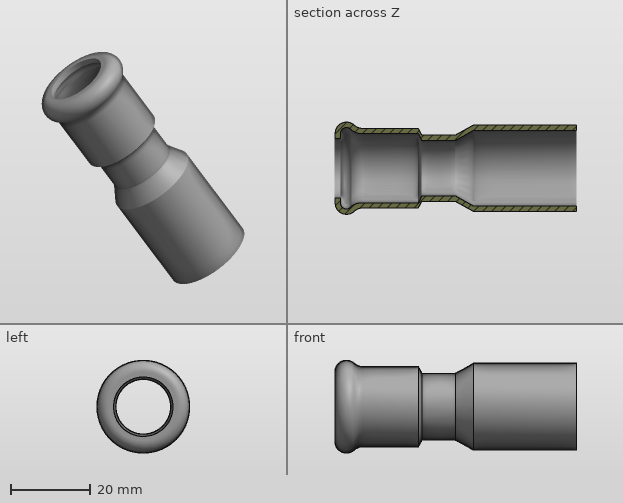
import cadquery as cq
import math

length = 61.0
wall = 1.45

bead_radius = 2.9
bead_center_r = 8.8
bead_end_x = 5.05
mouth_radius = 7.5

flare_end_x = 5.4
flare_end_r = 10.55
socket_start_x = 6.9
socket_end_x = 21.05
socket_radius = 10.1

neck_start_x = 21.95
neck_end_x = 30.4
neck_radius = 8.4
spigot_start_x = 35.0
spigot_radius = 11.0

chamber_radius = bead_radius - wall
inner_flare_x = 4.2
inner_flare_r = 9.5
socket_bore = socket_radius - wall
neck_bore = 6.9
spigot_bore = spigot_radius - wall


bead_end_angle = math.acos((bead_end_x - bead_radius) / bead_radius)


def bead_end_point(arc_radius):
    """Rear end of an arc concentric with the bead."""
    x = bead_radius + arc_radius * math.cos(bead_end_angle)
    r = bead_center_r + arc_radius * math.sin(bead_end_angle)
    return x, r


def flare_mid_point(start_x, start_r, end_r):
    """Middle of an arc that runs out tangent to the cylinder of radius end_r."""
    run = socket_start_x - start_x
    drop = start_r - end_r
    turn = 2 * math.atan2(drop, run)
    arc_radius = run / math.sin(turn)
    x = socket_start_x - arc_radius * math.sin(turn / 2)
    r = end_r + arc_radius * (1 - math.cos(turn / 2))
    return x, r


def outer_solid():
    profile = (
        cq.Workplane("XY")
        .moveTo(0, 0)
        .lineTo(0, bead_center_r)
        .threePointArc(
            (bead_radius, bead_center_r + bead_radius),
            bead_end_point(bead_radius),
        )
        .lineTo(flare_end_x, flare_end_r)
        .threePointArc(
            flare_mid_point(flare_end_x, flare_end_r, socket_radius),
            (socket_start_x, socket_radius),
        )
        .lineTo(socket_end_x, socket_radius)
        .lineTo(neck_start_x, neck_radius)
        .lineTo(neck_end_x, neck_radius)
        .lineTo(spigot_start_x, spigot_radius)
        .lineTo(length, spigot_radius)
        .lineTo(length, 0)
        .close()
    )
    return profile.revolve(360, (0, 0, 0), (1, 0, 0))


def bore_solid():
    profile = (
        cq.Workplane("XY")
        .moveTo(0, 0)
        .lineTo(0, mouth_radius)
        .lineTo(wall, mouth_radius)
        .lineTo(wall, bead_center_r)
        .threePointArc(
            (bead_radius, bead_center_r + chamber_radius),
            bead_end_point(chamber_radius),
        )
        .lineTo(inner_flare_x, inner_flare_r)
        .threePointArc(
            flare_mid_point(inner_flare_x, inner_flare_r, socket_bore),
            (socket_start_x, socket_bore),
        )
        .lineTo(socket_end_x, socket_bore)
        .lineTo(neck_start_x, neck_bore)
        .lineTo(neck_end_x, neck_bore)
        .lineTo(spigot_start_x, spigot_bore)
        .lineTo(length, spigot_bore)
        .lineTo(length, 0)
        .close()
    )
    return profile.revolve(360, (0, 0, 0), (1, 0, 0))


result = outer_solid().cut(bore_solid())